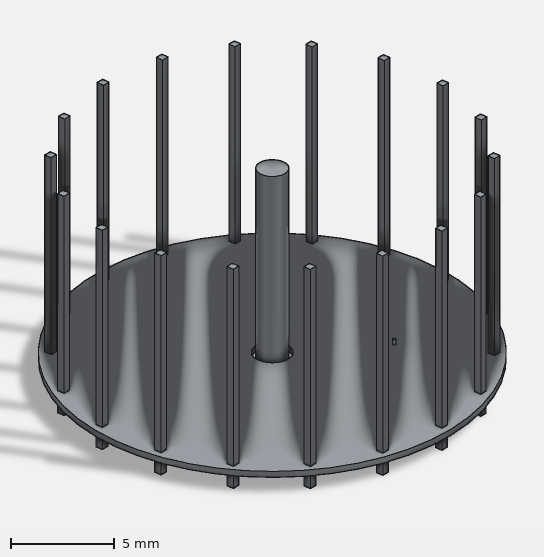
import cadquery as cq

disc_diameter = 22.55
disc_thickness = 0.34
bore_diameter = 2.0

pin_count = 18
pin_circle_diameter = 21.35
pin_width = 0.4
pin_length = 12.27
pin_drop = 0.9

shaft_diameter = 1.6
shaft_length = 10.85
shaft_drop = 0.2

pellet_diameter = 0.15
pellet_height = 0.3
pellet_x = 7.71
pellet_y = -0.02
pellet_bottom_z = 3.75


def upright_cylinder(diameter, height, bottom_z, center_x=0.0, center_y=0.0):
    """Vertical cylinder standing on bottom_z, with its axis at the given X and Y."""
    return (
        cq.Workplane("XY")
        .workplane(offset=bottom_z)
        .center(center_x, center_y)
        .circle(diameter / 2)
        .extrude(height)
    )


def make_pin_base():
    """Bored disc and its ring of square pins, as one body; the pins keep their sides along X and Y."""
    disc = upright_cylinder(disc_diameter, disc_thickness, 0)
    bore = upright_cylinder(bore_diameter, disc_thickness, 0)
    pins = (
        cq.Workplane("XY")
        .workplane(offset=-pin_drop)
        .polarArray(pin_circle_diameter / 2, 0, 360, pin_count, rotate=False)
        .rect(pin_width, pin_width)
        .extrude(pin_length)
    )
    return disc.cut(bore).union(pins)


pin_base = make_pin_base()
shaft = upright_cylinder(shaft_diameter, shaft_length, -shaft_drop)
pellet = upright_cylinder(pellet_diameter, pellet_height, pellet_bottom_z, pellet_x, pellet_y)

result = cq.Compound.makeCompound([pin_base.val(), shaft.val(), pellet.val()])